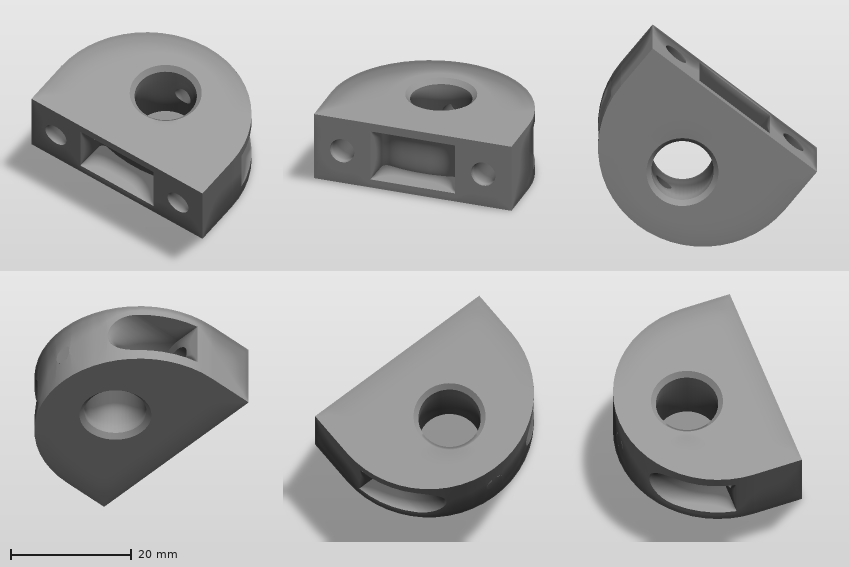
import cadquery as cq
import math

width = 35.0
height = 12.0
round_radius = width / 2
straight_depth = 8.5
overall_depth = straight_depth + round_radius
mid_height = height / 2
overshoot = 1.75

bore_y = 14.0
bore_diameter = 10.4
bore_chamfer = 0.8

bolt_offset = 12.5
bolt_diameter = 4.3
head_diameter = 8.05
head_seat_y = 11.5

lock_pin_diameter = 3.2
lock_pin_length = 3.0

pocket_mouth_width = 15.0
pocket_inner_width = 14.55
pocket_height = 9.0
pocket_depth = 5.0
pocket_bulge_radius = 23.8
pocket_corner_radius = 0.95


def cylinder_along_y(x, diameter, start_y, end_y):
    """Horizontal cylinder at mid height, running from start_y to end_y."""
    return (
        cq.Workplane("XZ", origin=(x, start_y, mid_height))
        .circle(diameter / 2)
        .extrude(start_y - end_y)
    )


def make_block():
    return (
        cq.Workplane("XY")
        .moveTo(-width / 2, 0)
        .lineTo(width / 2, 0)
        .lineTo(width / 2, straight_depth)
        .threePointArc((0, overall_depth), (-width / 2, straight_depth))
        .close()
        .extrude(height)
    )


def make_pocket():
    """Cutter for the front pocket, with rounded inner corners."""
    mouth_x = pocket_mouth_width / 2
    inner_x = pocket_inner_width / 2
    bulge_drop = pocket_bulge_radius - math.sqrt(pocket_bulge_radius**2 - inner_x**2)
    corner_y = pocket_depth + bulge_drop
    return (
        cq.Workplane("XY", origin=(0, 0, mid_height - pocket_height / 2))
        .moveTo(-mouth_x, 0)
        .lineTo(mouth_x, 0)
        .lineTo(inner_x, corner_y)
        .threePointArc((0, pocket_depth), (-inner_x, corner_y))
        .close()
        .extrude(pocket_height)
        .edges("|Z and (not <Y)")
        .fillet(pocket_corner_radius)
    )


def make_bolt_cut(side):
    """Bolt hole and its head slot, open to the back and outwards; side is -1 or 1."""
    bolt_x = side * bolt_offset
    slot_end_y = overall_depth + overshoot
    hole = cylinder_along_y(bolt_x, bolt_diameter, -overshoot, slot_end_y)
    head = cylinder_along_y(bolt_x, head_diameter, head_seat_y, slot_end_y)
    opening_length = width / 2 + overshoot - bolt_offset
    opening = cq.Workplane("XY").box(
        opening_length, slot_end_y - head_seat_y, head_diameter
    ).translate((
        side * (bolt_offset + opening_length / 2),
        (head_seat_y + slot_end_y) / 2,
        mid_height,
    ))
    return hole.union(head).union(opening)


def make_lock_hole():
    return cylinder_along_y(0, lock_pin_diameter, bore_y, overall_depth + overshoot)


def make_bore():
    """Cutter for the vertical bore, flared to its chamfers at both ends."""
    bore_radius = bore_diameter / 2
    rim_radius = bore_radius + bore_chamfer
    return (
        cq.Workplane("XZ")
        .lineTo(rim_radius, 0)
        .lineTo(bore_radius, bore_chamfer)
        .lineTo(bore_radius, height - bore_chamfer)
        .lineTo(rim_radius, height)
        .lineTo(0, height)
        .close()
        .revolve(360, (0, 0), (0, 1))
        .translate((0, bore_y, 0))
    )


def make_housing():
    housing = make_block().cut(make_bore()).cut(make_pocket()).cut(make_lock_hole())
    for side in (-1, 1):
        housing = housing.cut(make_bolt_cut(side))
    return housing


def make_lock_pin():
    """Pin in the back end of the lock hole, flat-ended and level with the crest of the back."""
    inner_end_y = overall_depth - lock_pin_length
    return cylinder_along_y(0, lock_pin_diameter, inner_end_y, overall_depth)


housing = make_housing()
lock_pin = make_lock_pin()

result = cq.Compound.makeCompound([housing.val(), lock_pin.val()])